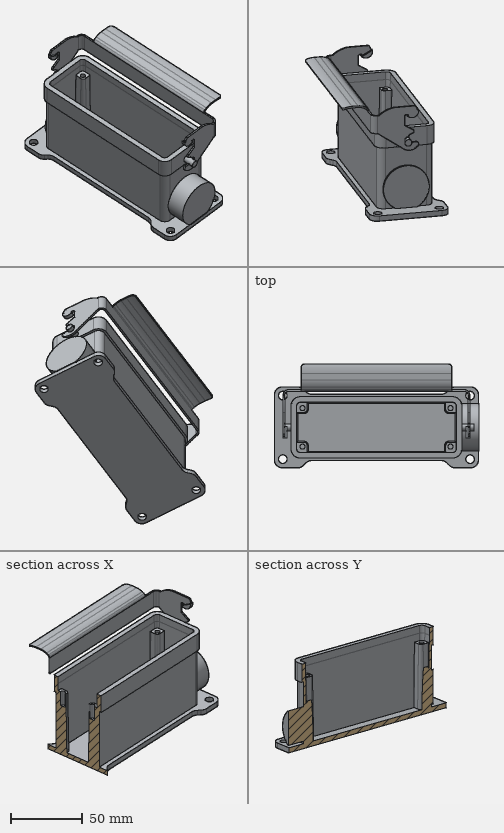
import cadquery as cq
import math

TOTAL_LENGTH = 144.0
TOTAL_HEIGHT = 81.5

PLATE_LENGTH = 143.5
PLATE_WIDTH = 57.0
PLATE_THICKNESS = 4.0
PLATE_CORNER_RADIUS = 5.8
WAIST_WIDTH = 46.7
WAIST_MID_X = 50.4
WAIST_RADIUS = 5.9
MOUNT_HOLE_DIAMETER = 5.9
MOUNT_HOLE_SPACING_X = 131.6
MOUNT_HOLE_SPACING_Y = 44.6

COLLAR_LENGTH = 120.1
COLLAR_WIDTH = 43.2
COLLAR_CORNER_RADIUS = 6.6
COLLAR_STEP = 1.6
COLLAR_BOTTOM = 50.0
HOUSING_TOP = 64.0
BODY_LENGTH = COLLAR_LENGTH - 2 * COLLAR_STEP
BODY_WIDTH = COLLAR_WIDTH - 2 * COLLAR_STEP
BODY_CORNER_RADIUS = COLLAR_CORNER_RADIUS - COLLAR_STEP

RIM_WALL = 3.9
CAVITY_LENGTH = COLLAR_LENGTH - 2 * RIM_WALL
CAVITY_WIDTH = COLLAR_WIDTH - 2 * RIM_WALL
CAVITY_CORNER_RADIUS = COLLAR_CORNER_RADIUS - RIM_WALL
CAVITY_STRAIGHT_DEPTH = 5.8
CAVITY_FLOOR = PLATE_THICKNESS
DRAFT_ANGLE = 1.0

POST_TOP = HOUSING_TOP - 11.4
POST_INNER_X = 48.7
POST_INNER_Y = 10.5
POST_WALL_OVERLAP = 1.5
POST_CORNER_RADIUS = 2.3
SCREW_SPACING_X = 104.0
SCREW_SPACING_Y = 27.0
SCREW_HOLE_DIAMETER = 3.6
SCREW_HOLE_DEPTH = 11.5

BOSS_DIAMETER = 33.3
BOSS_CENTRE_Z = 18.7
LEFT_BOSS_END = COLLAR_LENGTH / 2
RIGHT_BOSS_END = TOTAL_LENGTH - PLATE_LENGTH / 2

SHEET = 1.3
LEVER_LENGTH = 131.3
LEVER_BACK_Y = 26.6
LEVER_BEND_RADIUS = 4.2
STRIP_BOTTOM = 63.2
STRIP_TOP = 76.5
PIN_Z = 54.5
PIN_DIAMETER = 5.0
PIN_SLOT_RADIUS = 4.9 / 2
LEFT_PIN_END = 65.8
RIGHT_PIN_END = 68.4
THROAT_Y = 2.6
HOOK_FRONT_Y = -7.3
HOOK_LIP_MIDDLE = (-4.6, 73.3)
HOOK_LIP_START_Z = 76.9
HOOK_LIP_END_Y = 0.6
HOOK_NECK_Z = 78.5
HOOK_LIP_END_Z = 74.2
HOOK_PAD_THICKNESS = 1.5

GRIP_LENGTH = 106.0
GRIP_TIP_Y = 44.6
GRIP_TOP = 80.6
GRIP_FLAT_BACK_Y = 37.7
GRIP_FLAT_FRONT_Y = 33.4
GRIP_BACK_RADIUS = 18.7
GRIP_FRONT_RADIUS = 11.0
GRIP_FRONT_ANGLE = math.radians(28)
GRIP_BEND_RADIUS = 2.3
GRIP_CORNER_RADIUS = 2.6


def rounded_block(length, width, radius, bottom, top):
    block = cq.Workplane("XY").workplane(offset=bottom).rect(length, width).extrude(top - bottom)
    return block.edges("|Z").fillet(radius)


def x_cylinder(diameter, z, x_start, x_end):
    return cq.Workplane("YZ", origin=(x_start, 0, z)).circle(diameter / 2).extrude(x_end - x_start)


def mounting_plate():
    half_width = PLATE_WIDTH / 2
    step = (PLATE_WIDTH - WAIST_WIDTH) / 2
    ear_x = WAIST_MID_X + step / 2
    waist_x = WAIST_MID_X - step / 2
    plate = cq.Workplane("XY").rect(PLATE_LENGTH, PLATE_WIDTH).extrude(PLATE_THICKNESS)
    plate = plate.edges("|Z").fillet(PLATE_CORNER_RADIUS)
    notch = (
        cq.Workplane("XY")
        .polyline([(-ear_x, half_width), (-waist_x, half_width - step),
                   (waist_x, half_width - step), (ear_x, half_width)])
        .close()
        .extrude(PLATE_THICKNESS)
    )
    plate = plate.cut(notch).cut(notch.mirror("XZ"))
    reach = ear_x + WAIST_RADIUS
    waist_edges = cq.selectors.BoxSelector(
        (-reach, -PLATE_WIDTH, 0), (reach, PLATE_WIDTH, PLATE_THICKNESS))
    plate = plate.edges("|Z").edges(waist_edges).fillet(WAIST_RADIUS)
    holes = (
        cq.Workplane("XY")
        .rect(MOUNT_HOLE_SPACING_X, MOUNT_HOLE_SPACING_Y, forConstruction=True)
        .vertices()
        .circle(MOUNT_HOLE_DIAMETER / 2)
        .extrude(PLATE_THICKNESS)
    )
    return plate.cut(holes)


def cable_bosses():
    bosses = x_cylinder(BOSS_DIAMETER, BOSS_CENTRE_Z, -LEFT_BOSS_END, RIGHT_BOSS_END)
    below_plate_top = cq.Workplane("XY").box(
        2 * TOTAL_LENGTH, PLATE_WIDTH, PLATE_THICKNESS, centered=(True, True, False))
    return bosses.cut(below_plate_top)


def cavity():
    draft_start = HOUSING_TOP - CAVITY_STRAIGHT_DEPTH
    straight = rounded_block(
        CAVITY_LENGTH, CAVITY_WIDTH, CAVITY_CORNER_RADIUS, draft_start, HOUSING_TOP)
    drafted = straight.faces("<Z").wires().toPending().workplane().extrude(
        draft_start - CAVITY_FLOOR, combine=False, taper=DRAFT_ANGLE)
    return straight.union(drafted)


def screw_posts():
    outer_x = CAVITY_LENGTH / 2 + POST_WALL_OVERLAP
    outer_y = CAVITY_WIDTH / 2 + POST_WALL_OVERLAP
    size_x = outer_x - POST_INNER_X
    size_y = outer_y - POST_INNER_Y
    centre_x = (outer_x + POST_INNER_X) / 2
    centre_y = (outer_y + POST_INNER_Y) / 2
    section = cq.Sketch().rect(size_x, size_y).vertices().fillet(POST_CORNER_RADIUS)
    posts = (
        cq.Workplane("XY", origin=(0, 0, POST_TOP))
        .rect(2 * centre_x, 2 * centre_y, forConstruction=True)
        .vertices()
        .placeSketch(section)
        .extrude(CAVITY_FLOOR - POST_TOP, taper=-DRAFT_ANGLE)
    )
    within_cavity = rounded_block(
        CAVITY_LENGTH, CAVITY_WIDTH, CAVITY_CORNER_RADIUS, CAVITY_FLOOR, POST_TOP)
    return posts.intersect(within_cavity)


def screw_holes():
    return (
        cq.Workplane("XY", origin=(0, 0, POST_TOP))
        .rect(SCREW_SPACING_X, SCREW_SPACING_Y, forConstruction=True)
        .vertices()
        .circle(SCREW_HOLE_DIAMETER / 2)
        .extrude(-SCREW_HOLE_DEPTH)
    )


def housing():
    body = rounded_block(BODY_LENGTH, BODY_WIDTH, BODY_CORNER_RADIUS, 0, COLLAR_BOTTOM)
    collar = rounded_block(
        COLLAR_LENGTH, COLLAR_WIDTH, COLLAR_CORNER_RADIUS, COLLAR_BOTTOM, HOUSING_TOP)
    shell = mounting_plate().union(body).union(collar).union(cable_bosses())
    return shell.cut(cavity()).union(screw_posts()).cut(screw_holes())


def lever_side_outline():
    slot_y = PIN_SLOT_RADIUS
    return (
        cq.Workplane("YZ", origin=(-LEVER_LENGTH / 2, 0, 0))
        .moveTo(LEVER_BACK_Y, STRIP_TOP)
        .lineTo(21.3, STRIP_TOP)
        .threePointArc((16.5, 79.6), (10.5, TOTAL_HEIGHT))
        .lineTo(-4.8, TOTAL_HEIGHT)
        .threePointArc((-5.9, 80.2), (-6.5, HOOK_NECK_Z))
        .lineTo(HOOK_FRONT_Y, HOOK_NECK_Z)
        .lineTo(HOOK_FRONT_Y, HOOK_LIP_START_Z)
        .threePointArc(HOOK_LIP_MIDDLE, (HOOK_LIP_END_Y, HOOK_LIP_END_Z))
        .lineTo(0.0, 75.2)
        .threePointArc((1.6, 75.5), (THROAT_Y, 74.6))
        .lineTo(THROAT_Y, 67.4)
        .lineTo(-3.0, 64.0)
        .threePointArc((-4.2, 62.8), (-3.6, 61.5))
        .lineTo(-1.0, 60.3)
        .lineTo(0.1, 58.8)
        .threePointArc((1.7, 58.0), (slot_y, 57.0))
        .lineTo(slot_y, PIN_Z)
        .threePointArc((0, PIN_Z - PIN_SLOT_RADIUS), (-slot_y, PIN_Z))
        .lineTo(-6.0, 54.7)
        .threePointArc((-7.3, 53.5), (-6.3, 51.0))
        .threePointArc((-0.7, 48.7), (3.5, 50.0))
        .lineTo(22.3, STRIP_BOTTOM)
        .lineTo(LEVER_BACK_Y, STRIP_BOTTOM)
        .close()
    )


def lever_bracket():
    depth = 2 * LEVER_BACK_Y
    outer = (
        cq.Workplane("XY")
        .box(LEVER_LENGTH, depth, TOTAL_HEIGHT, centered=(True, True, False))
        .edges("|Z and >Y")
        .fillet(LEVER_BEND_RADIUS)
    )
    inner = (
        cq.Workplane("XY", origin=(0, -SHEET, 0))
        .box(LEVER_LENGTH - 2 * SHEET, depth, TOTAL_HEIGHT, centered=(True, True, False))
        .edges("|Z and >Y")
        .fillet(LEVER_BEND_RADIUS - SHEET)
    )
    return outer.cut(inner).intersect(lever_side_outline().extrude(LEVER_LENGTH))


def hook_pad():
    pad_start = -LEVER_LENGTH / 2 + SHEET
    return (
        cq.Workplane("YZ", origin=(pad_start, 0, 0))
        .moveTo(HOOK_LIP_END_Y, HOOK_LIP_END_Z)
        .threePointArc(HOOK_LIP_MIDDLE, (HOOK_FRONT_Y, HOOK_LIP_START_Z))
        .lineTo(HOOK_FRONT_Y, HOOK_NECK_Z)
        .close()
        .extrude(HOOK_PAD_THICKNESS)
    )


def grip():
    strip_y = LEVER_BACK_Y - SHEET
    back_angle = math.asin((GRIP_TIP_Y - GRIP_FLAT_BACK_Y) / GRIP_BACK_RADIUS)

    def back_point(radius, angle):
        return (GRIP_FLAT_BACK_Y + radius * math.sin(angle),
                GRIP_TOP - GRIP_BACK_RADIUS + radius * math.cos(angle))

    def front_point(radius, angle):
        return (GRIP_FLAT_FRONT_Y - radius * math.sin(angle),
                GRIP_TOP - GRIP_FRONT_RADIUS + radius * math.cos(angle))

    def on_slope(radius, y):
        """Point at y on the straight run that leaves the front bend tangentially."""
        start_y, start_z = front_point(radius, GRIP_FRONT_ANGLE)
        return (y, start_z - (start_y - y) * math.tan(GRIP_FRONT_ANGLE))

    back_under = GRIP_BACK_RADIUS - SHEET
    front_under = GRIP_FRONT_RADIUS - SHEET
    half_front = GRIP_FRONT_ANGLE / 2
    half_back = back_angle / 2
    upper_bend = on_slope(GRIP_FRONT_RADIUS, strip_y)
    lower_bend = on_slope(front_under, LEVER_BACK_Y)
    profile = (
        cq.Workplane("YZ", origin=(-GRIP_LENGTH / 2, 0, 0))
        .moveTo(*back_point(GRIP_BACK_RADIUS, back_angle))
        .threePointArc(back_point(GRIP_BACK_RADIUS, half_back), back_point(GRIP_BACK_RADIUS, 0))
        .lineTo(*front_point(GRIP_FRONT_RADIUS, 0))
        .threePointArc(front_point(GRIP_FRONT_RADIUS, half_front),
                       front_point(GRIP_FRONT_RADIUS, GRIP_FRONT_ANGLE))
        .lineTo(*upper_bend)
        .lineTo(strip_y, STRIP_BOTTOM)
        .lineTo(LEVER_BACK_Y, STRIP_BOTTOM)
        .lineTo(*lower_bend)
        .lineTo(*front_point(front_under, GRIP_FRONT_ANGLE))
        .threePointArc(front_point(front_under, half_front), front_point(front_under, 0))
        .lineTo(*back_point(back_under, 0))
        .threePointArc(back_point(back_under, half_back), back_point(back_under, back_angle))
        .close()
    )
    sheet = profile.extrude(GRIP_LENGTH)
    for bend_point, radius in ((upper_bend, GRIP_BEND_RADIUS),
                               (lower_bend, GRIP_BEND_RADIUS - SHEET)):
        bend_edge = cq.selectors.NearestToPointSelector((0, *bend_point))
        sheet = sheet.edges("|X").edges(bend_edge).fillet(radius)
    tip_plan = (
        cq.Workplane("XY")
        .box(GRIP_LENGTH, 2 * GRIP_TIP_Y, TOTAL_HEIGHT, centered=(True, True, False))
        .edges("|Z and >Y")
        .fillet(GRIP_CORNER_RADIUS)
    )
    return sheet.intersect(tip_plan)


def lever():
    pad = hook_pad()
    return lever_bracket().union(grip()).union(pad).union(pad.mirror("YZ"))


def pivot_pins():
    wall_x = COLLAR_LENGTH / 2 - RIM_WALL / 2
    left_pin = x_cylinder(PIN_DIAMETER, PIN_Z, -LEFT_PIN_END, -wall_x)
    right_pin = x_cylinder(PIN_DIAMETER, PIN_Z, wall_x, RIGHT_PIN_END)
    return left_pin.union(right_pin)


result = housing().union(pivot_pins()).union(lever())